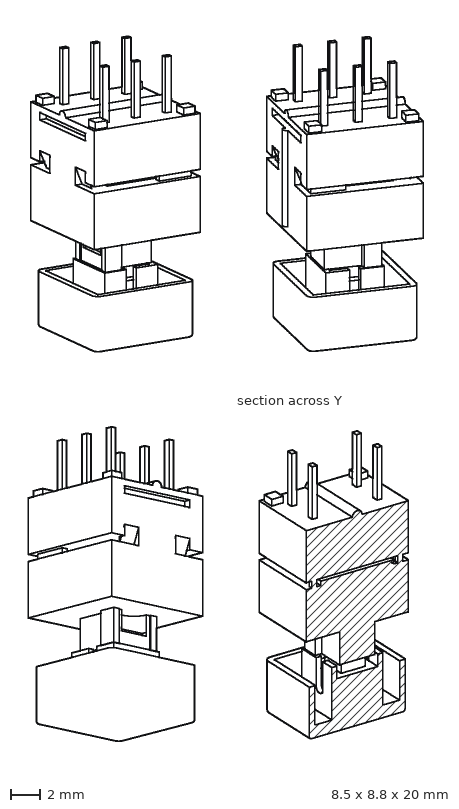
import cadquery as cq

CAP_HEIGHT = 4.0
POST_TOP = 5.0
BODY_BOTTOM = 7.5
BLOCK_HEIGHT = 4.0
BLOCK_GAP = 0.5
PIN_TOP = 20.0
LOWER_TOP = BODY_BOTTOM + BLOCK_HEIGHT
UPPER_BOTTOM = LOWER_TOP + BLOCK_GAP
BODY_TOP = UPPER_BOTTOM + BLOCK_HEIGHT

BODY_SIZE = 8.5
HALF_BODY = BODY_SIZE / 2

TAB_WIDTH = 3.46
TAB_DEPTH = 0.54
TAB_INSIDE = -HALF_BODY + TAB_DEPTH
LATCH_WIDTH = 6.1
WINDOW_BOTTOM = 15.0
WINDOW_TOP = 15.53
RAMP_TOP = 12.8

BRIDGE_WIDTH = 7.62
BRIDGE_Y_MIN = 1.24
BRIDGE_Y_MAX = 3.78
BRIDGE_POCKET_WIDTH = 6.68
BRIDGE_POCKET_DEPTH = 0.5
LEDGE_WIDTH = LATCH_WIDTH
LEDGE_HEIGHT = 0.33
LEDGE_Y_MIN = -2.48

RIDGE_RADIUS = 0.43
RIDGE_SINK = 0.05
RIB_RADIUS = 0.3
RIB_BOTTOM = 8.0
RIB_TOP = 15.0
FOOT_SIZE = 0.93
FOOT_HEIGHT = 0.5
FOOT_OFFSET = 3.53
PIN_X_SIZE = 0.4
PIN_Y_SIZE = 0.5
PIN_ROW_SPACING = 5.4
PIN_PITCH = 2.5
PIN_ROWS = 2
PINS_PER_ROW = 3

STEM_SIZE = 4.0
STEM_CORE_WIDTH = 2.94
STEM_CHANNEL_DEPTH = 0.12
STEM_STEP_Y = -0.7
GROOVE_RADIUS = 1.15
GROOVE_BOTTOM = 6.26
GROOVE_SEAT_BOTTOM = 6.0
GROOVE_SEAT_DEPTH = 0.4

CAP_SIZE = 8.0
CAP_WALL = 0.5
CAP_FLOOR = 1.0
CAP_CORNER_RADIUS = 0.5
CAP_EDGE_RADIUS = 0.2
POST_SIZE = 4.26
POST_WALL = 0.43
POST_POCKET_FLOOR = 4.05
POST_TANG_SIZE = 2.0
POST_SLOT_WIDTH = 0.8
POST_SLOT_CENTER_Z = 2.85


def box(x_size, y_min, y_max, z_min, z_max):
    """Box centred on X, placed by its Y and Z limits."""
    return (
        cq.Workplane("XY")
        .box(x_size, y_max - y_min, z_max - z_min, centered=(True, False, False))
        .translate((0, y_min, z_min))
    )


def square_block(size, z_min, z_max):
    """Square block centred on the Z axis."""
    return box(size, -size / 2, size / 2, z_min, z_max)


def on_both_sides(shape):
    """The shape together with its copy turned half a turn about Z."""
    return shape.union(shape.rotate((0, 0, 0), (0, 0, 1), 180))


def snap_tabs():
    """Tabs across the gap, each with a sloping catch behind it."""
    tab = box(TAB_WIDTH, -HALF_BODY, TAB_INSIDE, LOWER_TOP, RAMP_TOP)
    catch = (
        cq.Workplane("YZ")
        .polyline([(-HALF_BODY, RAMP_TOP), (TAB_INSIDE, LOWER_TOP), (TAB_INSIDE, RAMP_TOP)])
        .close()
        .extrude(LATCH_WIDTH / 2, both=True)
    )
    return on_both_sides(tab.union(catch))


def housing():
    """Two stacked blocks joined by the tabs, with a window above each tab."""
    lower = square_block(BODY_SIZE, BODY_BOTTOM, LOWER_TOP)
    upper = square_block(BODY_SIZE, UPPER_BOTTOM, BODY_TOP)
    window = box(LATCH_WIDTH, -HALF_BODY, TAB_INSIDE, WINDOW_BOTTOM, WINDOW_TOP)
    ramp_space = box(LATCH_WIDTH, -HALF_BODY, TAB_INSIDE, UPPER_BOTTOM, RAMP_TOP)
    upper = upper.cut(on_both_sides(window.union(ramp_space)))
    return lower.union(upper).union(snap_tabs())


def gap_blocks():
    """Full-height bridge with a shallow front pocket, and the low ledge before it."""
    bridge = box(BRIDGE_WIDTH, BRIDGE_Y_MIN, BRIDGE_Y_MAX, LOWER_TOP, UPPER_BOTTOM)
    pocket_back = BRIDGE_Y_MIN + BRIDGE_POCKET_DEPTH
    pocket = box(BRIDGE_POCKET_WIDTH, BRIDGE_Y_MIN, pocket_back, LOWER_TOP, UPPER_BOTTOM)
    ledge = box(LEDGE_WIDTH, LEDGE_Y_MIN, pocket_back, LOWER_TOP, LOWER_TOP + LEDGE_HEIGHT)
    return bridge.cut(pocket).union(ledge)


def top_ridge():
    """Rounded ridge along Y over the top face."""
    return (
        cq.Workplane("XZ", origin=(0, HALF_BODY, BODY_TOP - RIDGE_SINK))
        .circle(RIDGE_RADIUS)
        .extrude(BODY_SIZE)
    )


def back_rib():
    """Upright half-round rib on the +Y face."""
    return (
        cq.Workplane("XY", origin=(0, HALF_BODY, RIB_BOTTOM))
        .circle(RIB_RADIUS)
        .extrude(RIB_TOP - RIB_BOTTOM)
    )


def feet():
    return (
        cq.Workplane("XY", origin=(0, 0, BODY_TOP))
        .rect(2 * FOOT_OFFSET, 2 * FOOT_OFFSET, forConstruction=True)
        .vertices()
        .rect(FOOT_SIZE, FOOT_SIZE)
        .extrude(FOOT_HEIGHT)
    )


def pins():
    return (
        cq.Workplane("XY", origin=(0, 0, BODY_TOP))
        .rarray(PIN_ROW_SPACING, PIN_PITCH, PIN_ROWS, PINS_PER_ROW)
        .rect(PIN_X_SIZE, PIN_Y_SIZE)
        .extrude(PIN_TOP - BODY_TOP)
    )


def stem():
    """Stem, wider at the front, with a front channel holding a round groove and a flat seat."""
    front = -STEM_SIZE / 2
    channel_back = front + STEM_CHANNEL_DEPTH
    wide = box(STEM_SIZE, front, STEM_STEP_Y, POST_TOP, BODY_BOTTOM)
    core = box(STEM_CORE_WIDTH, STEM_STEP_Y, STEM_SIZE / 2, POST_TOP, BODY_BOTTOM)
    channel = box(STEM_CORE_WIDTH, front, channel_back, POST_TOP, BODY_BOTTOM)
    groove = (
        cq.Workplane("XY", origin=(0, channel_back, GROOVE_BOTTOM))
        .circle(GROOVE_RADIUS)
        .extrude(BODY_BOTTOM - GROOVE_BOTTOM)
    )
    seat_back = channel_back + GROOVE_SEAT_DEPTH
    seat = box(2 * GROOVE_RADIUS, channel_back, seat_back, GROOVE_SEAT_BOTTOM, GROOVE_BOTTOM)
    return wide.union(core).cut(channel).cut(groove).cut(seat)


def post_slot():
    """Slot in the -X wall of the post, open at the top and round at the bottom."""
    outer_face = cq.Workplane("YZ", origin=(-POST_SIZE / 2, 0, 0))
    round_end = outer_face.center(0, POST_SLOT_CENTER_Z).circle(POST_SLOT_WIDTH / 2).extrude(POST_WALL)
    slot_height = POST_TOP - POST_SLOT_CENTER_Z
    straight = (
        outer_face.center(0, POST_SLOT_CENTER_Z + slot_height / 2)
        .rect(POST_SLOT_WIDTH, slot_height)
        .extrude(POST_WALL)
    )
    return round_end.union(straight)


def cap():
    """Open-topped cap around a slotted post with a shallow pocket and a central tang."""
    shell = square_block(CAP_SIZE, 0, CAP_HEIGHT).edges("|Z").fillet(CAP_CORNER_RADIUS)
    shell = shell.faces("<Z").edges().fillet(CAP_EDGE_RADIUS)
    shell = shell.cut(square_block(CAP_SIZE - 2 * CAP_WALL, CAP_FLOOR, CAP_HEIGHT))
    post = square_block(POST_SIZE, CAP_FLOOR, POST_TOP)
    post = post.cut(square_block(POST_SIZE - 2 * POST_WALL, POST_POCKET_FLOOR, POST_TOP))
    post = post.union(square_block(POST_TANG_SIZE, POST_POCKET_FLOOR, POST_TOP))
    return shell.union(post.cut(on_both_sides(post_slot())))


result = housing()
for feature in (gap_blocks(), top_ridge(), back_rib(), feet(), pins(), stem(), cap()):
    result = result.union(feature)